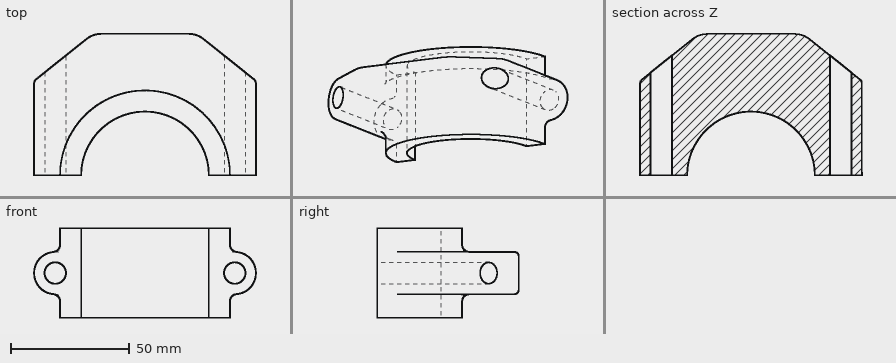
import cadquery as cq

bore_radius = 27.0
ring_radius = 36.0
ring_height = 38.0

flange_thickness = 18.0
bolt_offset = 38.0
bolt_hole_diameter = 9.0
flange_depth = 60.0
back_half_width = 22.0
side_depth = 40.0

back_corner_radius = 10.0
back_edge_radius = 2.0
ring_blend_radius = 3.0

lobe_radius = flange_thickness / 2
half_width = bolt_offset + lobe_radius
bolt_sides = (-1, 1)

selection_margin = 1.0


def flange_plan():
    """Plan outline with chamfered back corners, extruded to the flange thickness."""
    plan = (
        cq.Workplane("XY")
        .workplane(offset=-flange_thickness / 2)
        .moveTo(-half_width, 0)
        .lineTo(-half_width, side_depth)
        .lineTo(-back_half_width, flange_depth)
        .lineTo(back_half_width, flange_depth)
        .lineTo(half_width, side_depth)
        .lineTo(half_width, 0)
        .close()
        .extrude(flange_thickness)
    )
    back_corners = cq.selectors.BoxSelector(
        (-half_width, flange_depth - selection_margin, -flange_thickness),
        (half_width, flange_depth + selection_margin, flange_thickness),
    )
    return plan.edges("|Z").edges(back_corners).fillet(back_corner_radius)


def flange():
    """Plan trimmed to a stadium section, with the back and slanted rims rounded."""
    section = (
        cq.Workplane("XZ")
        .slot2D(2 * half_width, flange_thickness)
        .extrude(-flange_depth)
    )
    body = flange_plan().intersect(section)
    return body.faces(">Y").edges("|X").fillet(back_edge_radius)


def half_cylinder(radius):
    """Half disc on the +Y side, as tall as the ring and centred on Z = 0."""
    return (
        cq.Workplane("XY")
        .workplane(offset=-ring_height / 2)
        .moveTo(-radius, 0)
        .threePointArc((0, radius), (radius, 0))
        .close()
        .extrude(ring_height)
    )


def blend_ring(body):
    """Fillet the joint between the ring's outer wall and the flange."""
    reach = ring_radius + selection_margin
    rise = lobe_radius + selection_margin
    joint_region = cq.selectors.BoxSelector(
        (-reach, -selection_margin, -rise),
        (reach, reach, rise),
        boundingbox=True,
    )
    return body.edges(joint_region).edges("%CIRCLE").fillet(ring_blend_radius)


def bolt_holes():
    """Through holes along Y, one on each side of the ring."""
    return (
        cq.Workplane("XZ")
        .pushPoints([(side * bolt_offset, 0) for side in bolt_sides])
        .circle(bolt_hole_diameter / 2)
        .extrude(-flange_depth)
    )


body = flange().union(half_cylinder(ring_radius))
body = blend_ring(body)
result = body.cut(half_cylinder(bore_radius)).cut(bolt_holes())